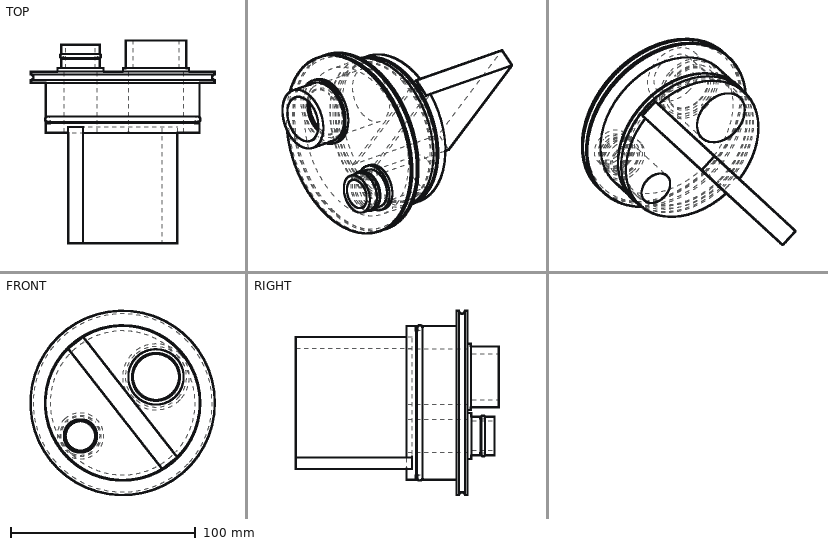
import cadquery as cq
import math


flange_diameter = 100.0
flange_thickness = 6.0
flange_groove_section = 3.2
plug_diameter = 83.5
plug_front_y = -33.1

plug_ring_section = 3.0
plug_ring_outer_diameter = 84.3
plug_groove_rear_y = -24.3
plug_groove_width = 3.6

blade_thickness = 10.3
blade_length = math.sqrt(plug_diameter**2 - blade_thickness**2)
blade_angle = 38
blade_tip_y = -93.1
slot_depth = 3.1

large_port_radius = 22.9
large_port_bore = 30.0
small_port_radius = 29.0
small_port_bore = 18.0

large_tube_diameter = 33
large_tube_length = 110 + blade_tip_y
large_tube_bore = 25.0
large_collar_diameter = 36.0
large_collar_thickness = 1.9
large_collar_bore = 26.0

small_tube_diameter = 21.0
small_tube_length = 14.6
small_tube_bore = 16.0
small_collar_diameter = 25.1
small_collar_thickness = 2.1
small_groove_diameter = 18.4
small_groove_rear_y = 9.5
small_groove_width = 2.5
small_ring_section = 2.0
small_ring_outer_diameter = small_groove_diameter + 2 * small_ring_section


def port_position(distance):
    """X and Z of a point on the port line; a negative distance lies opposite the large port."""
    angle = math.radians(blade_angle)
    return distance * math.cos(angle), distance * math.sin(angle)


def cylinder(diameter, start_y, end_y, center=(0, 0)):
    """Cylinder along Y around the point center, given as (X, Z)."""
    base = cq.Workplane("XZ", origin=(center[0], start_y, center[1]))
    return base.circle(diameter / 2).extrude(start_y - end_y)


def torus(section, outer_diameter, center_y, center=(0, 0)):
    """Ring of round section around the Y axis, moved to center, given as (X, Z)."""
    ring = (
        cq.Workplane("XY")
        .center((outer_diameter - section) / 2, center_y)
        .circle(section / 2)
        .revolve(360, (-(outer_diameter - section) / 2, 0), (-(outer_diameter - section) / 2, 1))
    )
    return ring.translate((center[0], 0, center[1]))


def groove(outer_diameter, floor_diameter, rear_y, width, center=(0, 0)):
    """Square-sided ring of material to cut from a cylinder for a seal."""
    front_y = rear_y - width
    outside = cylinder(outer_diameter, rear_y, front_y, center)
    return outside.cut(cylinder(floor_diameter, rear_y, front_y, center))


large_port = port_position(large_port_radius)
small_port = port_position(-small_port_radius)


def make_blade():
    rear_y = plug_front_y + slot_depth
    length_y = rear_y - blade_tip_y
    upright = cq.Workplane("XY").box(blade_thickness, length_y, blade_length)
    return upright.rotate((0, 0, 0), (0, 1, 0), -blade_angle).translate((0, rear_y - length_y / 2, 0))


def make_slot():
    """The blade recess, run out through the plug surface at both ends."""
    slot = cq.Workplane("XY").box(blade_thickness, 2 * slot_depth, flange_diameter)
    return slot.rotate((0, 0, 0), (0, 1, 0), -blade_angle).translate((0, plug_front_y, 0))


def make_housing():
    housing = cylinder(flange_diameter, 0, -flange_thickness)
    housing = housing.union(cylinder(plug_diameter, -flange_thickness, plug_front_y))

    rim_groove_diameter = flange_diameter + flange_groove_section
    housing = housing.cut(torus(flange_groove_section, rim_groove_diameter, -flange_thickness / 2))

    floor_diameter = plug_ring_outer_diameter - 2 * plug_ring_section
    housing = housing.cut(groove(plug_diameter, floor_diameter, plug_groove_rear_y, plug_groove_width))

    housing = housing.cut(make_slot())
    for diameter, center in ((large_port_bore, large_port), (small_port_bore, small_port)):
        housing = housing.cut(cylinder(diameter, 0, plug_front_y, center))
    return housing


def make_plug_ring():
    return torus(
        plug_ring_section, plug_ring_outer_diameter, plug_groove_rear_y - plug_ring_section / 2
    )


def make_large_tube():
    tube = cylinder(large_tube_diameter, large_tube_length, 0, large_port)
    tube = tube.union(cylinder(large_collar_diameter, large_collar_thickness, 0, large_port))
    tube = tube.cut(cylinder(large_tube_bore, large_tube_length, 0, large_port))
    return tube.cut(cylinder(large_collar_bore, large_collar_thickness, 0, large_port))


def make_small_tube():
    tube = cylinder(small_tube_diameter, small_tube_length, 0, small_port)
    tube = tube.union(cylinder(small_collar_diameter, small_collar_thickness, 0, small_port))
    tube = tube.cut(cylinder(small_tube_bore, small_tube_length, 0, small_port))
    return tube.cut(
        groove(
            small_tube_diameter, small_groove_diameter, small_groove_rear_y, small_groove_width, small_port
        )
    )


def make_small_ring():
    return torus(
        small_ring_section,
        small_ring_outer_diameter,
        small_groove_rear_y - small_ring_section / 2,
        small_port,
    )


housing = make_housing()
blade = make_blade()
plug_ring = make_plug_ring()
large_tube = make_large_tube()
small_tube = make_small_tube()
small_ring = make_small_ring()

bodies = [housing, blade, plug_ring, large_tube, small_tube, small_ring]
result = cq.Compound.makeCompound([body.val() for body in bodies])